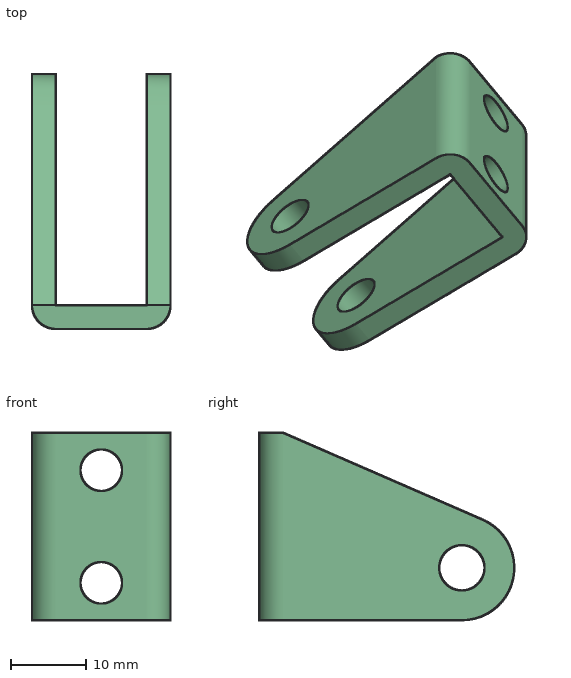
import cadquery as cq
import math

width = 18.5
depth = 34.0
height = 25.0
wall = 3.2

tip_radius = 7.0
pin_diameter = 6.0
tip_y = depth - tip_radius
tip_z = tip_radius

mount_diameter = 5.5
mount_edge_distance = 5.0
mount_heights = (mount_edge_distance, height - mount_edge_distance)


def channel():
    """U-shaped channel: web on the -Y side, ears reaching toward +Y."""
    block = cq.Workplane("XY").box(width, depth, height, centered=(True, False, False))
    block = block.edges("|Z and <Y").fillet(wall)
    gap = (
        cq.Workplane("XY")
        .center(0, wall)
        .box(width - 2 * wall, depth, height, centered=(True, False, False))
    )
    return block.cut(gap)


def side_profile():
    """Side outline: full height at the web, sloping tangentially onto the round tip."""
    run = tip_y - wall
    rise = height - tip_z
    slope = math.atan2(rise, run) - math.asin(tip_radius / math.hypot(run, rise))
    tangent_point = (
        tip_y + tip_radius * math.sin(slope),
        tip_z + tip_radius * math.cos(slope),
    )
    return (
        cq.Workplane("YZ")
        .moveTo(0, 0)
        .lineTo(tip_y, 0)
        .threePointArc((depth, tip_z), tangent_point)
        .lineTo(wall, height)
        .lineTo(0, height)
        .close()
        .extrude(width / 2, both=True)
    )


def pin_hole():
    """Cross hole through both ears, concentric with the round tip."""
    return (
        cq.Workplane("YZ")
        .center(tip_y, tip_z)
        .circle(pin_diameter / 2)
        .extrude(width / 2, both=True)
    )


def mount_holes():
    """Two holes through the web, one above the other."""
    return (
        cq.Workplane("XZ")
        .pushPoints([(0, z) for z in mount_heights])
        .circle(mount_diameter / 2)
        .extrude(-wall)
    )


result = channel().intersect(side_profile()).cut(pin_hole()).cut(mount_holes())